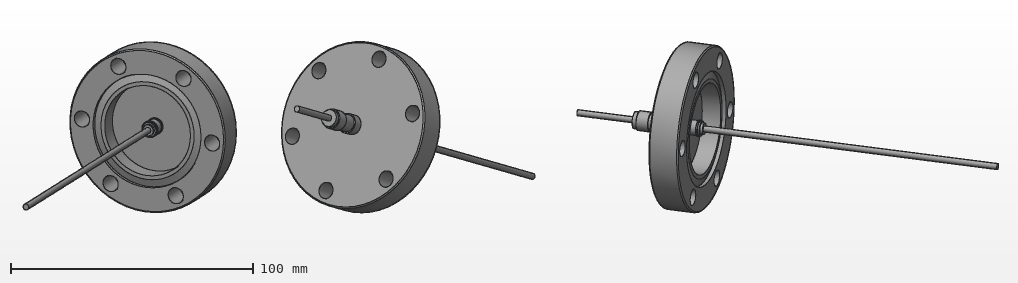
import cadquery as cq
import math


flange_diameter = 69.8
flange_radius = flange_diameter / 2
flange_thickness = 12.9
rim_chamfer = 0.5

recess_diameter = 48.5
recess_radius = recess_diameter / 2
knife_diameter = 41.8
knife_radius = knife_diameter / 2
knife_depth = 0.5
knife_angle = 20.0
recess_depth = knife_depth + (recess_radius - knife_radius) * math.tan(math.radians(knife_angle))

pocket_diameter = 38.5
pocket_radius = pocket_diameter / 2
pocket_depth = 8.7

bolt_count = 6
bolt_circle_radius = 29.3
bolt_hole_diameter = 6.8
bolt_start_angle = -3.9

rod_radius = 1.3
rod_length = 184.2
rod_back_end = 56.3

sleeve_diameter = 8.3
sleeve_radius = sleeve_diameter / 2
ceramic_diameter = 7.2
ceramic_radius = ceramic_diameter / 2
collar_radius = 3.5
tube_radius = 3.1
tip_radius = 2.4

back_stack = [
    (sleeve_radius, 4.5),
    (ceramic_radius, 7.0),
    (sleeve_radius, 5.2),
    (ceramic_radius, 1.8),
]
front_stack = [
    (collar_radius, 1.0),
    (tube_radius, 4.2),
    (collar_radius, 0.7),
    (tube_radius, 0.7),
    (tip_radius, 1.1),
]


def cylinder(radius, start, end):
    """Solid cylinder on the Y axis between two Y positions."""
    base = cq.Workplane("XZ", origin=(0, end, 0))
    return base.circle(radius).extrude(end - start)


def flange_body():
    """Chamfered disc with the knife-edge recess and pocket, revolved about Y."""
    outline = [
        (0, pocket_depth),
        (pocket_radius, pocket_depth),
        (pocket_radius, knife_depth),
        (knife_radius, knife_depth),
        (recess_radius, recess_depth),
        (recess_radius, 0),
        (flange_radius - rim_chamfer, 0),
        (flange_radius, rim_chamfer),
        (flange_radius, flange_thickness - rim_chamfer),
        (flange_radius - rim_chamfer, flange_thickness),
        (0, flange_thickness),
    ]
    return cq.Workplane("XY").polyline(outline).close().revolve(360, (0, 0, 0), (0, 1, 0))


def bolt_holes():
    """Through-hole cutters evenly spaced on the bolt circle."""
    return (
        cq.Workplane("XZ", origin=(0, flange_thickness, 0))
        .polarArray(bolt_circle_radius, bolt_start_angle, 360, bolt_count)
        .circle(bolt_hole_diameter / 2)
        .extrude(flange_thickness)
    )


def add_stack(body, steps, seat, direction):
    """Join coaxial steps end to end, starting at the seat and going along Y."""
    position = seat
    for radius, length in steps:
        next_position = position + direction * length
        step = cylinder(radius, min(position, next_position), max(position, next_position))
        body = body.union(step)
        position = next_position
    return body


result = flange_body().cut(bolt_holes())
result = add_stack(result, back_stack, flange_thickness, 1)
result = add_stack(result, front_stack, pocket_depth, -1)
result = result.union(cylinder(rod_radius, rod_back_end - rod_length, rod_back_end))